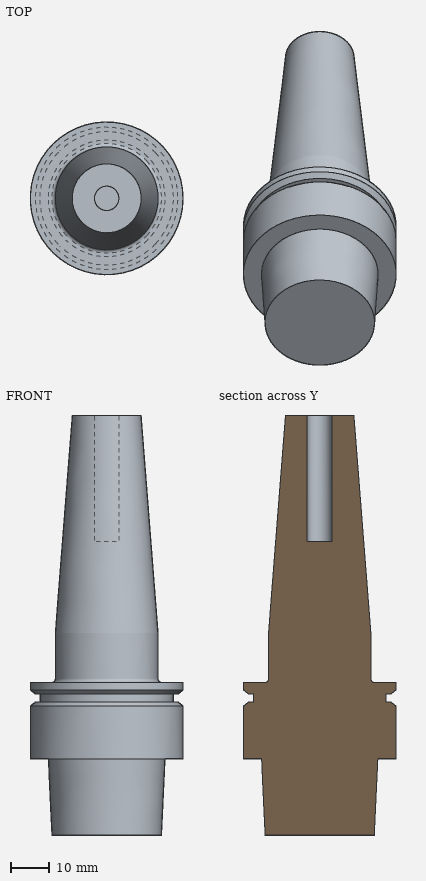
import cadquery as cq
import math

total_height = 110.0
shank_length = 20.0
flange_top = 40.0
collar_top = 52.9

flange_diameter = 40.0
collar_diameter = 27.0
nose_diameter = 18.0
shank_bottom_diameter = 28.7
shank_top_diameter = 30.6
groove_diameter = 35.0
groove_wall_diameter = 37.3
bore_diameter = 6.4

groove_center = 36.0
groove_floor_width = 2.0
groove_mouth_chamfer_height = 1.1
collar_foot_fillet = 1.0
bore_depth = 33.0

flange_radius = flange_diameter / 2
collar_radius = collar_diameter / 2
groove_radius = groove_diameter / 2
groove_wall_radius = groove_wall_diameter / 2
groove_floor_half = groove_floor_width / 2
groove_mouth_half = groove_floor_half + groove_mouth_chamfer_height

foot_center_radius = collar_radius + collar_foot_fillet
foot_center_height = flange_top + collar_foot_fillet
foot_arc_reach = collar_foot_fillet * math.sqrt(0.5)

flange_outline = [
    (0, 0),
    (shank_bottom_diameter / 2, 0),
    (shank_top_diameter / 2, shank_length),
    (flange_radius, shank_length),
    (flange_radius, groove_center - groove_mouth_half),
    (groove_wall_radius, groove_center - groove_floor_half),
    (groove_radius, groove_center - groove_floor_half),
    (groove_radius, groove_center + groove_floor_half),
    (groove_wall_radius, groove_center + groove_floor_half),
    (flange_radius, groove_center + groove_mouth_half),
    (flange_radius, flange_top),
    (foot_center_radius, flange_top),
]
foot_arc_middle = (foot_center_radius - foot_arc_reach, foot_center_height - foot_arc_reach)
foot_arc_end = (collar_radius, foot_center_height)

holder = (
    cq.Workplane("XZ")
    .polyline(flange_outline)
    .threePointArc(foot_arc_middle, foot_arc_end)
    .lineTo(collar_radius, collar_top)
    .lineTo(nose_diameter / 2, total_height)
    .lineTo(0, total_height)
    .close()
    .revolve(360, (0, 0), (0, 1))
)

result = holder.faces(">Z").workplane().hole(bore_diameter, bore_depth)